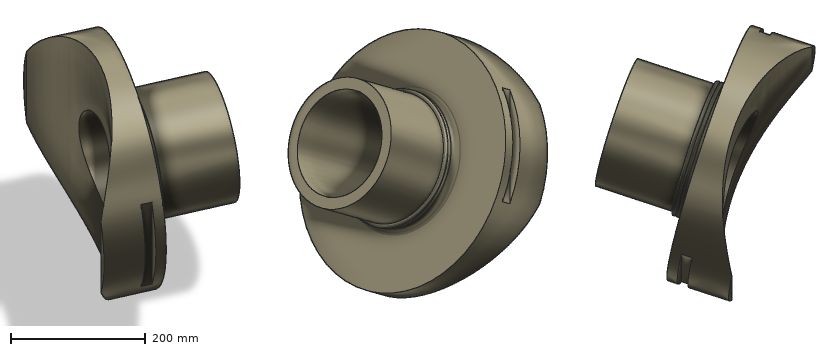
import cadquery as cq

flange_radius = 200.0
flange_thickness = 97.0
saddle_radius = 315.0
saddle_depth = 60.0

sleeve_radius = 100.0
total_length = 243.0
bore_radius = 82.0
root_fillet = 12.0

bead_radius = 105.5
bead_width = 6.5
bead_count = 2
bead_start = flange_thickness + root_fillet
bead_rounding = 3.0

groove_start = 64.0
groove_width = 17.0
groove_floor = 180.0


def disc(radius, start, length):
    """Cylinder along +Y, beginning at Y = start."""
    return cq.Workplane("XZ", origin=(0, start, 0)).circle(radius).extrude(-length)


def make_flange():
    """Disc hollowed on its -Y side by a cylinder running along Z."""
    saddle = (
        cq.Workplane("XY", origin=(0, saddle_depth - saddle_radius, -flange_radius))
        .circle(saddle_radius)
        .extrude(2 * flange_radius)
    )
    return disc(flange_radius, 0, flange_thickness).cut(saddle)


def make_root():
    """Concave fillet ring where the sleeve meets the flange."""
    fillet_top = flange_thickness + root_fillet
    fillet_edge = sleeve_radius + root_fillet
    return (
        cq.Workplane("XY")
        .moveTo(bore_radius, flange_thickness)
        .lineTo(fillet_edge, flange_thickness)
        .radiusArc((sleeve_radius, fillet_top), root_fillet)
        .lineTo(bore_radius, fillet_top)
        .close()
        .revolve(360, (0, 0, 0), (0, 1, 0))
    )


def make_bead(start):
    """Ring with rounded outer edges."""
    return disc(bead_radius, start, bead_width).edges().fillet(bead_rounding)


def cut_grooves(body):
    """Cut one straight groove into each X side."""
    depth = flange_radius - groove_floor
    for side in (-1, 1):
        groove = cq.Workplane("XY").box(depth, groove_width, 2 * flange_radius).translate(
            (side * (groove_floor + depth / 2), groove_start + groove_width / 2, 0)
        )
        body = body.cut(groove)
    return body


body = cut_grooves(make_flange())
body = body.union(disc(sleeve_radius, flange_thickness, total_length - flange_thickness))
body = body.union(make_root())
for index in range(bead_count):
    body = body.union(make_bead(bead_start + index * bead_width))

result = body.cut(disc(bore_radius, 0, total_length))